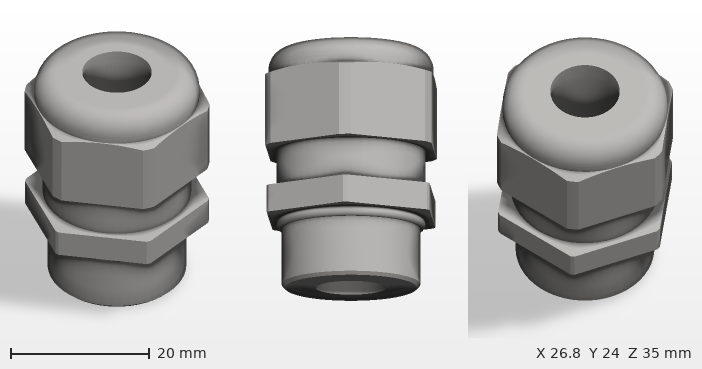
import cadquery as cq
import math

total_height = 35.0
bore_diameter = 10.0

thread_diameter = 20.02
thread_chamfer = 0.5
thread_top = 8.58
ring_diameter = 21.5
ring_height = 1.4

corner_diameter = 26.8
body_hex_flats = 23.52
body_hex_bottom = thread_top + ring_height
body_hex_height = 4.0
body_hex_top = body_hex_bottom + body_hex_height
neck_diameter = 21.5

nut_flats = 24.0
nut_bottom = 19.95
nut_shoulder = 30.98
nut_bevel_angle = 20.0
dome_diameter = 23.8
dome_fillet = 2.98


def cylinder(diameter, bottom, top):
    return cq.Workplane("XY").workplane(offset=bottom).circle(diameter / 2).extrude(top - bottom)


def rounded_hexagon(flats, bottom, top):
    """Hexagonal prism with corners along X, turned down to the corner diameter."""
    prism = (
        cq.Workplane("XY")
        .workplane(offset=bottom)
        .polygon(6, flats / math.cos(math.radians(30)))
        .extrude(top - bottom)
    )
    return prism.intersect(cylinder(corner_diameter, bottom, top))


def sealing_ring():
    """Ring with a half-round outer edge."""
    straight_radius = (ring_diameter - ring_height) / 2
    return (
        cq.Workplane("XZ")
        .moveTo(0, thread_top)
        .lineTo(straight_radius, thread_top)
        .threePointArc(
            (ring_diameter / 2, thread_top + ring_height / 2),
            (straight_radius, thread_top + ring_height),
        )
        .lineTo(0, thread_top + ring_height)
        .close()
        .revolve(360, (0, 0, 0), (0, 1, 0))
    )


def cap_nut():
    """Hexagon bevelled by a cone at the top, carrying a round dome."""
    dome_radius = dome_diameter / 2
    corner_radius = corner_diameter / 2
    bevel_drop = (corner_radius - dome_radius) * math.tan(math.radians(nut_bevel_angle))
    bevel_envelope = (
        cq.Workplane("XZ")
        .moveTo(0, nut_bottom)
        .lineTo(corner_radius, nut_bottom)
        .lineTo(corner_radius, nut_shoulder - bevel_drop)
        .lineTo(dome_radius, nut_shoulder)
        .lineTo(0, nut_shoulder)
        .close()
        .revolve(360, (0, 0, 0), (0, 1, 0))
    )
    hexagon = rounded_hexagon(nut_flats, nut_bottom, nut_shoulder).intersect(bevel_envelope)
    dome = cylinder(dome_diameter, nut_bottom, total_height).faces(">Z").edges().fillet(dome_fillet)
    return hexagon.union(dome)


thread = cylinder(thread_diameter, 0, body_hex_bottom).faces("<Z").edges().chamfer(thread_chamfer)
body_hexagon = rounded_hexagon(body_hex_flats, body_hex_bottom, body_hex_top)
neck = cylinder(neck_diameter, body_hex_bottom, nut_bottom)
bore = cylinder(bore_diameter, 0, total_height)

result = thread.union(sealing_ring()).union(body_hexagon).union(neck).union(cap_nut()).cut(bore)